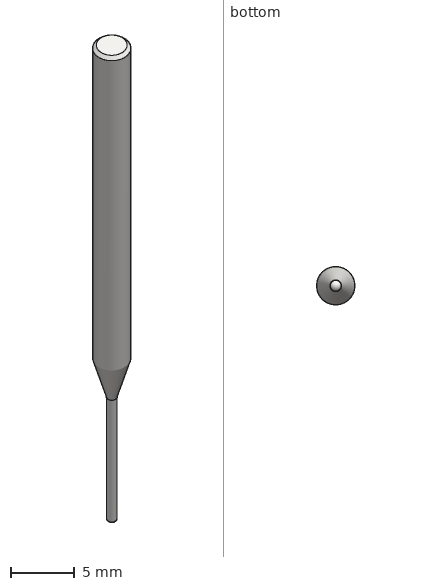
import cadquery as cq
import math

total_length = 50.0
shank_diameter = 3.0
shank_end_chamfer = 0.3
taper_top = 17.15
collar_bottom = 13.1
collar_length = 0.1
collar_diameter = 0.9
drill_diameter = 0.85
tip_height = 0.3

shank_radius = shank_diameter / 2
collar_radius = collar_diameter / 2
drill_radius = drill_diameter / 2


def revolve_about_z(profile):
    """Turn a closed XZ half profile about the Z axis."""
    return profile.revolve(360, (0, 0, 0), (0, 1, 0))


def make_shank():
    """Round shank with a chamfered top edge, tapering down to a short collar."""
    profile = (
        cq.Workplane("XZ")
        .moveTo(0, collar_bottom)
        .lineTo(collar_radius, collar_bottom)
        .lineTo(collar_radius, collar_bottom + collar_length)
        .lineTo(shank_radius, taper_top)
        .lineTo(shank_radius, total_length - shank_end_chamfer)
        .lineTo(shank_radius - shank_end_chamfer, total_length)
        .lineTo(0, total_length)
        .close()
    )
    return revolve_about_z(profile)


def make_drill():
    """Slim drill with a domed tip, butted against the end of the collar."""
    dome_radius = (drill_radius**2 + tip_height**2) / (2 * tip_height)
    half_arc_angle = math.atan2(tip_height, drill_radius)
    arc_middle_x = dome_radius * math.sin(half_arc_angle)
    arc_middle_z = dome_radius * (1 - math.cos(half_arc_angle))
    profile = (
        cq.Workplane("XZ")
        .moveTo(0, 0)
        .threePointArc((arc_middle_x, arc_middle_z), (drill_radius, tip_height))
        .lineTo(drill_radius, collar_bottom)
        .lineTo(0, collar_bottom)
        .close()
    )
    return revolve_about_z(profile)


shank = make_shank()
drill = make_drill()

result = cq.Compound.makeCompound([shank.val(), drill.val()])